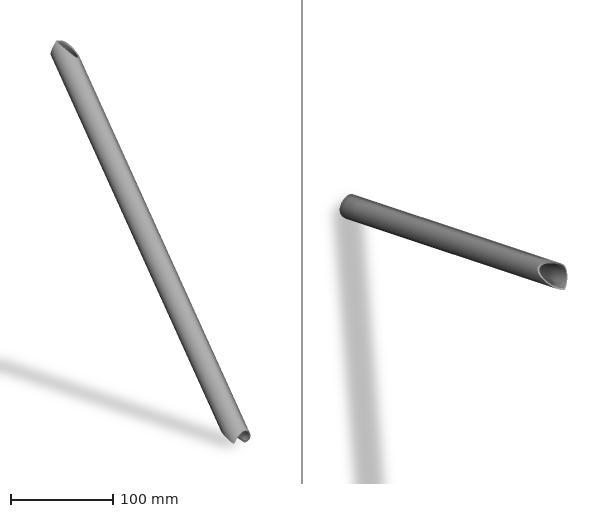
import cadquery as cq

outer_radius = 12.5
wall = 1.5
axis_direction = cq.Vector(1.0, -0.3298, -1.0627).normalized()
blank_half_length = 290.0

upper_copes = [
    (-232.92, -0.67, (0.973, -0.061, -0.223), 14.73),
    (-245.91, 12.42, (0.306, 0.522, 0.796), 29.61),
]
lower_copes = [
    (255.98, -0.10, (1.000, 0.000, 0.001), 12.70),
    (262.06, -2.74, (0.699, -0.035, 0.714), 16.46),
]

cope_length = 150.0
cope_reach = 150.0


def tube_blank():
    """Plain tube, square at both ends."""
    start = cq.Plane(
        origin=(axis_direction * -blank_half_length).toTuple(),
        normal=axis_direction.toTuple(),
    )
    return (
        cq.Workplane(start)
        .circle(outer_radius)
        .circle(outer_radius - wall)
        .extrude(2 * blank_half_length)
    )


def cope_cutter(outward, station, side_offset, mating_direction, radius):
    """Round-nosed cutter: the mating tube plus all the space beyond it, away from the middle."""
    mating_axis = cq.Vector(*mating_direction).normalized()
    side = axis_direction.cross(mating_axis).normalized()
    centre = axis_direction * station + side * side_offset
    away = outward - mating_axis * outward.dot(mating_axis)
    plane = cq.Plane(origin=centre.toTuple(), xDir=away.toTuple(), normal=mating_axis.toTuple())
    profile = (
        cq.Workplane(plane)
        .moveTo(cope_reach, radius)
        .lineTo(0, radius)
        .threePointArc((-radius, 0), (0, -radius))
        .lineTo(cope_reach, -radius)
        .close()
    )
    return profile.extrude(cope_length / 2, both=True)


result = tube_blank()
for cope in upper_copes:
    result = result.cut(cope_cutter(-axis_direction, *cope))
for cope in lower_copes:
    result = result.cut(cope_cutter(axis_direction, *cope))